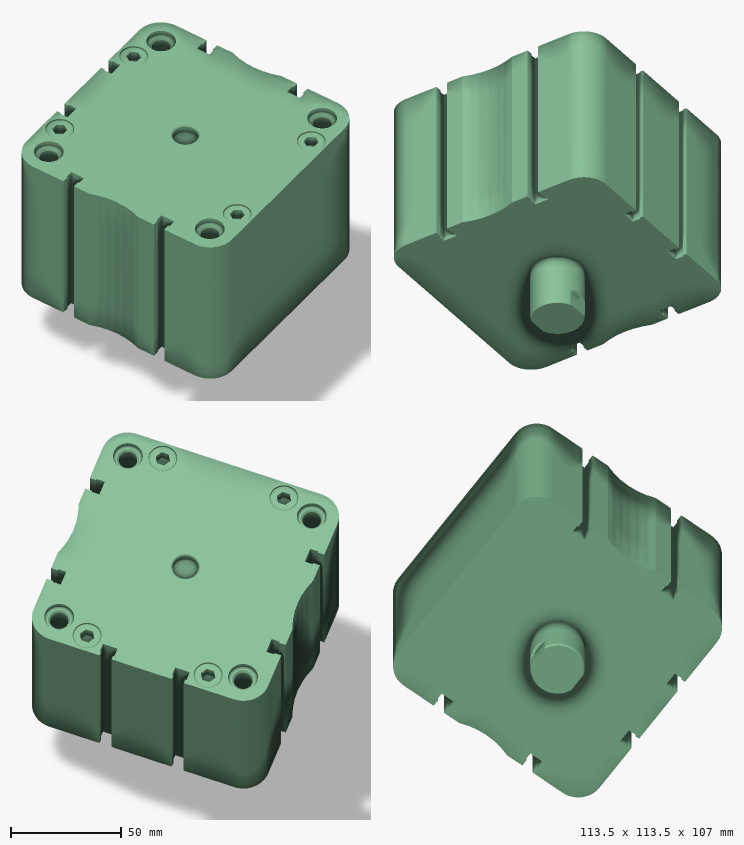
import cadquery as cq
import math

side = 113.5
half_side = side / 2
corner_radius = 12.0
cap_height = 19.4
barrel_height = 43.0
barrel_bottom = cap_height
barrel_top = barrel_bottom + barrel_height
housing_top = barrel_top + cap_height

slot_neck_width = 5.8
slot_inner_width = 7.0
y_slot_offset = 25.0
y_slot_depth = 7.0
y_slot_neck_depth = 3.2
x_slot_offset = 17.5
x_slot_depth = 6.1
x_slot_neck_depth = 1.9

hollow_width = 26.9
hollow_depth = 2.5
hollow_radius = (hollow_width**2 / 4 + hollow_depth**2) / (2 * hollow_depth)

mount_offset = 44.5
mount_recess_diameter = 13.5
mount_recess_depth = 2.6
mount_chamfer_diameter = 10.1
mount_hole_diameter = 8.4
mount_chamfer = (mount_chamfer_diameter - mount_hole_diameter) / 2

screw_x = 49.0
screw_y = 29.3
screw_head_diameter = 13.0
screw_face_diameter = 12.1
screw_bevel = (screw_head_diameter - screw_face_diameter) / 2
screw_face_drop = 0.5
hex_across_flats = 6.0
hex_across_corners = hex_across_flats / math.cos(math.radians(30))
hex_depth = 5.0

centre_hole_diameter = 12.0
centre_rim_diameter = 13.0
centre_hole_depth = 4.0
centre_chamfer = (centre_rim_diameter - centre_hole_diameter) / 2

rod_diameter = 25.0
rod_radius = rod_diameter / 2
rod_length_outside = 25.2
rod_end_radius = 11.9
rod_end_height = 1.9
flat_spacing = 22.0
flat_length = 7.6


def t_slot(offset, depth, neck_depth, height):
    """T-slot cutter that opens on the -Y side, centred at X = offset."""
    neck = (
        cq.Workplane("XY")
        .center(offset, -half_side + neck_depth / 2)
        .rect(slot_neck_width, neck_depth)
        .extrude(height)
    )
    inner_depth = depth - neck_depth
    inner = (
        cq.Workplane("XY")
        .center(offset, -half_side + neck_depth + inner_depth / 2)
        .rect(slot_inner_width, inner_depth)
        .extrude(height)
    )
    return neck.union(inner)


def housing_section(bottom, height):
    """A length of the housing with its rounded corners, T-slots and side hollows."""
    section = cq.Workplane("XY").rect(side, side).extrude(height).edges("|Z").fillet(corner_radius)
    for turn in (0, 180):
        for offset in (-y_slot_offset, y_slot_offset):
            slot = t_slot(offset, y_slot_depth, y_slot_neck_depth, height)
            section = section.cut(slot.rotate((0, 0, 0), (0, 0, 1), turn))
    for offset in (-x_slot_offset, x_slot_offset):
        slot = t_slot(offset, x_slot_depth, x_slot_neck_depth, height)
        section = section.cut(slot.rotate((0, 0, 0), (0, 0, 1), -90))
    hollow_centre = half_side - hollow_depth + hollow_radius
    hollows = (
        cq.Workplane("XY")
        .pushPoints([(0, -hollow_centre), (0, hollow_centre)])
        .circle(hollow_radius)
        .extrude(height)
    )
    return section.cut(hollows).translate((0, 0, bottom))


def chamfered_hole(diameter, chamfer, top, bottom):
    """Cutter for a round hole on the Z axis whose upper rim is chamfered at 45 degrees."""
    radius = diameter / 2
    return (
        cq.Workplane("XZ")
        .moveTo(0, bottom)
        .lineTo(radius, bottom)
        .lineTo(radius, top - chamfer)
        .lineTo(radius + chamfer, top)
        .lineTo(0, top)
        .close()
        .revolve(360, (0, 0, 0), (0, 1, 0))
    )


def mounting_hole():
    """Recessed and chamfered hole that runs through the upper cap."""
    recess_floor = housing_top - mount_recess_depth
    recess = (
        cq.Workplane("XY", origin=(0, 0, recess_floor))
        .circle(mount_recess_diameter / 2)
        .extrude(mount_recess_depth)
    )
    return recess.union(chamfered_hole(mount_hole_diameter, mount_chamfer, recess_floor, barrel_top))


def screw_head_recess():
    """Recess that leaves a bevelled screw head at its floor, with the hexagon socket."""
    head_radius = screw_head_diameter / 2
    face_radius = screw_face_diameter / 2
    face_top = housing_top - screw_face_drop
    recess = (
        cq.Workplane("XZ")
        .moveTo(0, face_top)
        .lineTo(face_radius, face_top)
        .lineTo(head_radius, face_top - screw_bevel)
        .lineTo(head_radius, housing_top)
        .lineTo(0, housing_top)
        .close()
        .revolve(360, (0, 0, 0), (0, 1, 0))
    )
    socket = (
        cq.Workplane("XY", origin=(0, 0, face_top - hex_depth))
        .polygon(6, hex_across_corners)
        .extrude(hex_depth)
        .rotate((0, 0, 0), (0, 0, 1), 30)
    )
    return recess.union(socket)


def make_upper_cap():
    """Upper cap with corner mounting holes, screw heads and the locating hole."""
    cap = housing_section(barrel_top, cap_height)
    for x_sign in (-1, 1):
        for y_sign in (-1, 1):
            cap = cap.cut(mounting_hole().translate((x_sign * mount_offset, y_sign * mount_offset, 0)))
            cap = cap.cut(screw_head_recess().translate((x_sign * screw_x, y_sign * screw_y, 0)))
    hole_floor = housing_top - centre_hole_depth
    return cap.cut(chamfered_hole(centre_hole_diameter, centre_chamfer, housing_top, hole_floor))


def make_barrel():
    """Middle length of the housing between the two caps."""
    return housing_section(barrel_bottom, barrel_height)


def make_lower_cap():
    """Lower cap with the bore that holds the rod."""
    bore = cq.Workplane("XY").circle(rod_radius).extrude(cap_height)
    return housing_section(0, cap_height).cut(bore)


def make_rod():
    """Rod from the barrel down through the lower cap, with a rounded end and two spanner flats."""
    end = -rod_length_outside
    end_inset = rod_radius - rod_end_radius
    rounding_radius = (end_inset**2 + rod_end_height**2) / (2 * end_inset)
    rod = (
        cq.Workplane("XZ")
        .moveTo(0, end)
        .lineTo(rod_end_radius, end)
        .radiusArc((rod_radius, end + rod_end_height), -rounding_radius)
        .lineTo(rod_radius, barrel_bottom)
        .lineTo(0, barrel_bottom)
        .close()
        .revolve(360, (0, 0, 0), (0, 1, 0))
    )
    flat_x = flat_spacing / 2
    flat_cut_depth = rod_radius - flat_x
    flat_top = end + flat_length
    flat = (
        cq.Workplane("XZ")
        .moveTo(flat_x, end)
        .lineTo(flat_x, flat_top)
        .lineTo(rod_radius, flat_top + flat_cut_depth)
        .lineTo(rod_radius, end)
        .close()
        .extrude(rod_radius, both=True)
    )
    return rod.cut(flat).cut(flat.mirror("YZ"))


upper_cap = make_upper_cap()
barrel = make_barrel()
lower_cap = make_lower_cap()
rod = make_rod()

result = cq.Compound.makeCompound([upper_cap.val(), barrel.val(), lower_cap.val(), rod.val()])